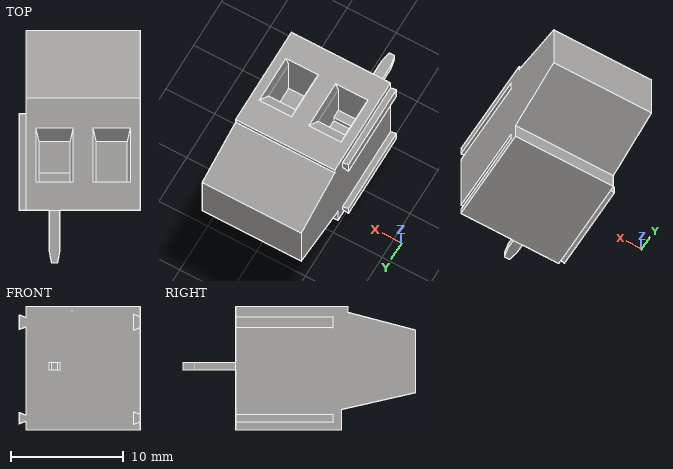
import cadquery as cq


pole_pitch = 5.08
pole_count = 2
body_width = pole_pitch * pole_count
body_length = 16.0
body_height = 11.0
upper_step_y = 10.0
upper_step_z = 10.47
lower_step_y = 9.42
lower_step_z = 1.82
nose_top_z = 8.9
nose_bottom_z = 3.32

rail_length = 8.6
rail_depth = 0.6
dovetail_slope = 0.23
upper_rail_z = 9.59
upper_rail_height = 1.32
lower_rail_z = 1.06
lower_rail_height = 1.02
groove_clearance = 0.05
rails = [
    (upper_rail_z, upper_rail_height),
    (lower_rail_z, lower_rail_height),
]

pin_width = 0.95
pin_thickness = 0.7
pin_length = 4.7
pin_tip_width = 0.55
pin_taper_length = 1.03
pin_bottom_z = 5.33

entry_front_y = 2.5
entry_mouth_width = 3.32
entry_mouth_length = 4.8
entry_throat_width = 2.76
entry_throat_length = 3.6
funnel_depth = 0.95
entry_floor_z = pin_bottom_z
contact_shoulder_length = 0.82


def pole_center_x(index):
    return (index + 0.5) * pole_pitch


pin_x = pole_center_x(0)


def housing():
    """Block with a nose that tapers toward the rear, as one side profile."""
    profile = [
        (0, 0),
        (lower_step_y, 0),
        (lower_step_y, lower_step_z),
        (body_length, nose_bottom_z),
        (body_length, nose_top_z),
        (upper_step_y, upper_step_z),
        (upper_step_y, body_height),
        (0, body_height),
    ]
    return cq.Workplane("YZ").polyline(profile).close().extrude(body_width)


def dovetail(root_x, center_z, tip_height, depth, length):
    """Dovetail bar along +Y; positive depth runs from its root toward -X."""
    half_tip = tip_height / 2
    half_root = half_tip - dovetail_slope
    tip_x = root_x - depth
    section = [
        (root_x, center_z - half_root),
        (tip_x, center_z - half_tip),
        (tip_x, center_z + half_tip),
        (root_x, center_z + half_root),
    ]
    return cq.Workplane("XZ").polyline(section).close().extrude(-length)


def rail(center_z, height):
    return dovetail(0, center_z, height, rail_depth, rail_length)


def groove(center_z, height):
    return dovetail(
        body_width,
        center_z,
        height + 2 * groove_clearance,
        rail_depth,
        rail_length + groove_clearance,
    )


def wire_entry(center_x):
    """Funnel with an upright front wall, leading into a straight shaft."""
    throat_z = body_height - funnel_depth
    funnel = (
        cq.Workplane("XY", origin=(center_x, entry_front_y, throat_z))
        .center(0, entry_throat_length / 2)
        .rect(entry_throat_width, entry_throat_length)
        .workplane(offset=funnel_depth)
        .center(0, (entry_mouth_length - entry_throat_length) / 2)
        .rect(entry_mouth_width, entry_mouth_length)
        .loft(ruled=True)
    )
    shaft = cq.Workplane("XY").box(
        entry_throat_width,
        entry_throat_length,
        throat_z - entry_floor_z,
        centered=(True, False, False),
    ).translate((center_x, entry_front_y, entry_floor_z))
    return funnel.union(shaft)


def contact_shoulder():
    """Shoulder at the front of the wire shaft, level with the solder pin."""
    return cq.Workplane("XY").box(
        entry_throat_width,
        contact_shoulder_length,
        pin_thickness,
        centered=(True, False, False),
    ).translate((pin_x, entry_front_y, entry_floor_z))


def solder_pin():
    """Flat pin along -Y whose width tapers at the tip."""
    half_width = pin_width / 2
    half_tip = pin_tip_width / 2
    taper_y = pin_taper_length - pin_length
    outline = [
        (pin_x - half_width, 0),
        (pin_x - half_width, taper_y),
        (pin_x - half_tip, -pin_length),
        (pin_x + half_tip, -pin_length),
        (pin_x + half_width, taper_y),
        (pin_x + half_width, 0),
    ]
    plane = cq.Workplane("XY", origin=(0, 0, pin_bottom_z))
    return plane.polyline(outline).close().extrude(pin_thickness)


part = housing()
for rail_z, rail_height in rails:
    part = part.union(rail(rail_z, rail_height))
    part = part.cut(groove(rail_z, rail_height))
for pole in range(pole_count):
    part = part.cut(wire_entry(pole_center_x(pole)))
part = part.union(contact_shoulder())
part = part.union(solder_pin())

result = part